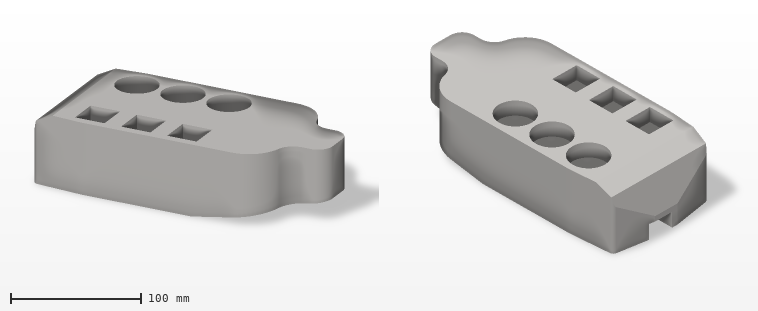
import cadquery as cq
import math

length = 243.0
width = 110.0
height = 60.0

half_width = width / 2
nose_half_width = 12.2
shoulder_x = 6.5
shoulder_half_width = 51.5
shoulder_radius = 4.0
taper_end_x = 49.8
taper_blend_radius = 90.0

body_round_radius = 29.5
tail_hollow_radius = 14.8
tail_half_width = 21.0
tail_round_radius = 12.6
hollow_end_x = 222.8

nose_edge_height = 20.0
brow_x = 8.5
brow_height = 52.5
top_start_x = 23.5
ramp_start_x = 144.8
tail_bottom_height = 16.5

pocket_count = 3
pocket_pitch = 39.9
first_pocket_x = 53.2
pocket_depth = 14.0
round_pocket_diameter = 35.0
round_pocket_y = 31.3
square_pocket_length = 25.5
square_pocket_width = 26.5
square_pocket_y = -34.7

slot_width = 24.3
slot_height = 14.8
slot_length = 48.5
slot_y = 5.8


def make_half_body():
    """Extruded +Y half of the plan outline, with its shoulder corner rounded."""
    center_distance = body_round_radius + tail_hollow_radius
    hollow_center = (hollow_end_x, tail_half_width + tail_hollow_radius)
    body_center_y = half_width - body_round_radius
    rise = hollow_center[1] - body_center_y
    run = math.sqrt(center_distance**2 - rise**2)
    body_center = (hollow_end_x - run, body_center_y)
    tangent_angle = math.atan2(rise, run)
    tangent_point = (
        body_center[0] + body_round_radius * math.cos(tangent_angle),
        body_center[1] + body_round_radius * math.sin(tangent_angle),
    )
    taper_angle = math.atan2(half_width - shoulder_half_width, taper_end_x - shoulder_x)
    blend_reach = taper_blend_radius * math.tan(taper_angle / 2)
    blend_start = (
        taper_end_x - blend_reach * math.cos(taper_angle),
        half_width - blend_reach * math.sin(taper_angle),
    )

    half = (
        cq.Workplane("XY")
        .moveTo(0, 0)
        .lineTo(0, nose_half_width)
        .lineTo(shoulder_x, shoulder_half_width)
        .lineTo(*blend_start)
        .tangentArcPoint((taper_end_x + blend_reach, half_width), relative=False)
        .lineTo(body_center[0], half_width)
        .tangentArcPoint(tangent_point, relative=False)
        .tangentArcPoint((hollow_end_x, tail_half_width), relative=False)
        .lineTo(length - tail_round_radius, tail_half_width)
        .tangentArcPoint((length, tail_half_width - tail_round_radius), relative=False)
        .lineTo(length, 0)
        .close()
        .extrude(height)
    )
    shoulder_edge = cq.selectors.NearestToPointSelector((shoulder_x, shoulder_half_width, height / 2))
    return half.edges(shoulder_edge).fillet(shoulder_radius)


def make_side_profile():
    """Side silhouette across the full width: sloped nose, flat top and rear ramp."""
    return (
        cq.Workplane("XZ")
        .polyline([
            (0, 0),
            (0, nose_edge_height),
            (brow_x, brow_height),
            (top_start_x, height),
            (length, height),
            (length, tail_bottom_height),
            (ramp_start_x, 0),
        ])
        .close()
        .extrude(half_width, both=True)
    )


def pocket_centers(row_y):
    return [(first_pocket_x + i * pocket_pitch, row_y) for i in range(pocket_count)]


def make_pockets():
    floor = cq.Workplane("XY").workplane(offset=height - pocket_depth)
    round_pockets = (
        floor.pushPoints(pocket_centers(round_pocket_y))
        .circle(round_pocket_diameter / 2)
        .extrude(pocket_depth)
    )
    square_pockets = (
        floor.pushPoints(pocket_centers(square_pocket_y))
        .rect(square_pocket_length, square_pocket_width)
        .extrude(pocket_depth)
    )
    return round_pockets.union(square_pockets)


def make_nose_slot():
    return cq.Workplane("XY").center(slot_length / 2, slot_y).rect(slot_length, slot_width).extrude(slot_height)


half_body = make_half_body()
body = half_body.union(half_body.mirror("XZ")).intersect(make_side_profile())
body = body.clean()
result = body.cut(make_pockets()).cut(make_nose_slot())